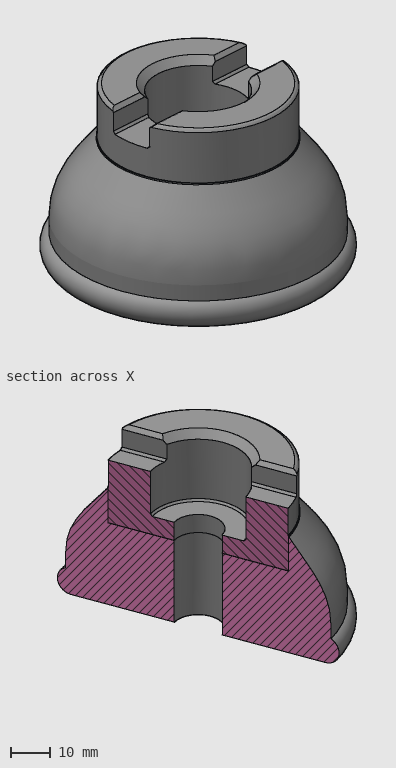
import cadquery as cq

height = 50.0
rim_radius = 40.0
hole_diameter = 13.5

rim_round = 4.0
rim_center = rim_radius - rim_round
skirt_radius = 37.7
skirt_top = 12.0
shoulder_mid = (33.3, 25.0)
shoulder_end_slope = (-0.75, 1.0)
collar_radius = 25.8
collar_bottom = 34.5
collar_top = 34.9

coupling_radius = 25.5
coupling_bottom = 24.4
edge_bevel_height = 0.8
edge_bevel_break = (0.5, 0.3)
edge_bevel_width = 1.1

bore_radius = 13.5
bore_floor = 29.8
bore_floor_chamfer = 0.6
bore_mouth_chamfer = 2.1

slot_width = 12.4
slot_depth = 7.0
slot_mouth_chamfer = 1.1
slot_floor_chamfer = 0.6


def revolve_profile(profile):
    """Turn a closed radius-height profile about the Z axis."""
    return profile.close().revolve(360, (0, 0, 0), (0, 1, 0))


def make_through_hole():
    return cq.Workplane("XY").circle(hole_diameter / 2).extrude(height)


def make_dome():
    """Solid dome with a recess for the coupling and a through hole."""
    rim_meets_skirt = rim_round + (rim_round**2 - (skirt_radius - rim_center)**2) ** 0.5
    profile = (
        cq.Workplane("XZ")
        .lineTo(rim_center, 0)
        .threePointArc((rim_radius, rim_round), (skirt_radius, rim_meets_skirt))
        .lineTo(skirt_radius, skirt_top)
        .spline(
            [shoulder_mid, (collar_radius, collar_bottom)],
            tangents=[(0, 1), shoulder_end_slope],
            includeCurrent=True,
        )
        .lineTo(collar_radius, collar_top)
        .lineTo(0, collar_top)
    )
    recess = (
        cq.Workplane("XY")
        .workplane(offset=coupling_bottom)
        .circle(coupling_radius)
        .extrude(height - coupling_bottom)
    )
    return revolve_profile(profile).cut(recess).cut(make_through_hole())


def make_coupling_blank():
    """Cylinder with a two-step bevel around its top edge."""
    break_inset, break_drop = edge_bevel_break
    profile = (
        cq.Workplane("XZ")
        .moveTo(0, coupling_bottom)
        .lineTo(coupling_radius, coupling_bottom)
        .lineTo(coupling_radius, height - edge_bevel_height)
        .lineTo(coupling_radius - break_inset, height - break_drop)
        .lineTo(coupling_radius - edge_bevel_width, height)
        .lineTo(0, height)
    )
    return revolve_profile(profile)


def make_bore():
    """Blind bore with a chamfered floor corner and a chamfered mouth."""
    profile = (
        cq.Workplane("XZ")
        .moveTo(0, bore_floor)
        .lineTo(bore_radius - bore_floor_chamfer, bore_floor)
        .lineTo(bore_radius, bore_floor + bore_floor_chamfer)
        .lineTo(bore_radius, height - bore_mouth_chamfer)
        .lineTo(bore_radius + bore_mouth_chamfer, height)
        .lineTo(0, height)
    )
    return revolve_profile(profile)


def make_slot():
    """Slot along Y with chamfered mouth and floor corners."""
    half_width = slot_width / 2
    floor = height - slot_depth
    right_side = [
        (half_width - slot_floor_chamfer, floor),
        (half_width, floor + slot_floor_chamfer),
        (half_width, height - slot_mouth_chamfer),
        (half_width + slot_mouth_chamfer, height),
    ]
    left_side = [(-x, z) for x, z in reversed(right_side)]
    return (
        cq.Workplane("XZ")
        .polyline(right_side + left_side)
        .close()
        .extrude(coupling_radius, both=True)
    )


def make_coupling():
    return make_coupling_blank().cut(make_bore()).cut(make_slot()).cut(make_through_hole())


dome = make_dome()
coupling = make_coupling()

result = cq.Compound.makeCompound([dome.val(), coupling.val()])